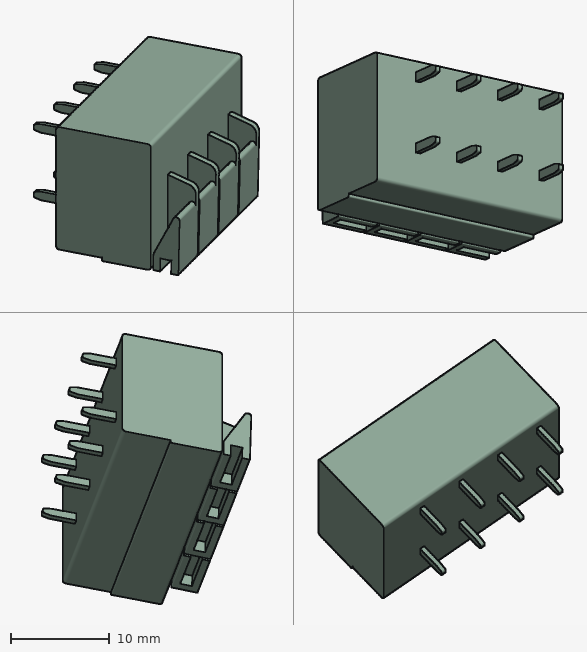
import cadquery as cq
import math

pole_count = 4
pole_pitch = 5.07

body_depth = 10.5
body_length = 22.85
body_height = 14.15
body_radius = 0.4
step_depth = 5.07
step_height = 0.37
step_radius = 0.14

pin_length = 3.5
pin_height = 0.98
pin_thickness = 0.53
pin_taper_length = 0.85
pin_tip_height = 0.6
pin_tip_radius = 0.23
pin_first_y = 2.63
pin_row_spacing = 7.6
pin_inset_from_top = 1.8
pin_upper_z = body_height - pin_inset_from_top
pin_rows_z = (pin_upper_z, pin_upper_z - pin_row_spacing)

lever_tilt = 1.3
lever_inset_from_top = 5.28
lever_top_z = body_height - lever_inset_from_top
lever_first_y = 0.18
lever_width = 4.8
arm_thickness = 0.78
lever_reach = 3.15
lever_drop = 8.87
lever_gap = 0.37
lever_toe_radius = 0.11
arm_root_overlap = 0.45
arm_flat = 0.18
arm_slope = 14.5
arm_bend_radius = 1.37
arm_nose_radius = 1.0
arm_root_height = 5.8
arm_root_radius = 0.18
wedge_foot_z = -7.02
wedge_slope = 64.7
wedge_peak_radius = 0.37
notch_start = 1.12
notch_width = 1.21
notch_height = 1.49


def rounded_prism(corners, y_start, y_end):
    """Extrude an XZ outline of (x, z, radius) corners along Y and round its corners."""
    outline = [(x, z) for x, z, radius in corners]
    prism = (
        cq.Workplane("XZ", origin=(0, y_start, 0))
        .polyline(outline)
        .close()
        .extrude(y_start - y_end)
    )
    middle_y = (y_start + y_end) / 2
    for x, z, radius in corners:
        if radius > 0:
            edge = cq.selectors.NearestToPointSelector((x, middle_y, z))
            prism = prism.edges("|Y").edges(edge).fillet(radius)
    return prism


def make_body():
    corners = [
        (0, step_height, body_radius),
        (step_depth, step_height, 0),
        (step_depth, 0, step_radius),
        (body_depth, 0, body_radius),
        (body_depth, body_height, body_radius),
        (0, body_height, body_radius),
    ]
    return rounded_prism(corners, 0, body_length)


def make_pin():
    """Flat pin with a tapered, rounded tip, centred on Y = 0 and Z = 0."""
    half_height = pin_height / 2
    half_tip = pin_tip_height / 2
    taper_x = pin_taper_length - pin_length
    corners = [
        (0, half_height, 0),
        (taper_x, half_height, 0),
        (-pin_length, half_tip, pin_tip_radius),
        (-pin_length, -half_tip, pin_tip_radius),
        (taper_x, -half_height, 0),
        (0, -half_height, 0),
    ]
    return rounded_prism(corners, -pin_thickness / 2, pin_thickness / 2)


def make_lever():
    """Lever hanging from its pivot, at X = 0 and Z = 0; its front side is at Y = 0."""
    wedge_end = lever_width - arm_thickness
    nose_z = -(lever_reach - arm_flat) * math.tan(math.radians(arm_slope))
    arm_corners = [
        (-arm_root_overlap, 0, 0),
        (arm_flat, 0, arm_bend_radius),
        (lever_reach, nose_z, arm_nose_radius),
        (lever_reach, -lever_drop, lever_toe_radius),
        (lever_gap, -lever_drop, lever_toe_radius),
        (lever_gap, -arm_root_height, arm_root_radius),
        (-arm_root_overlap, -arm_root_height, 0),
    ]
    arm = rounded_prism(arm_corners, wedge_end, lever_width)

    peak_z = wedge_foot_z + (lever_reach - lever_gap) * math.tan(math.radians(wedge_slope))
    wedge_corners = [
        (lever_gap, -lever_drop, lever_toe_radius),
        (lever_gap, wedge_foot_z, 0),
        (lever_reach, peak_z, wedge_peak_radius),
        (lever_reach, -lever_drop, lever_toe_radius),
    ]
    wedge = rounded_prism(wedge_corners, 0, wedge_end)

    notch = cq.Workplane("XY").box(notch_width, wedge_end, notch_height, centered=False)
    wedge = wedge.cut(notch.translate((notch_start, 0, -lever_drop)))

    return arm.union(wedge).rotate((0, 0, 0), (0, 1, 0), lever_tilt)


result = make_body()
pin = make_pin()
lever = make_lever()
for pole in range(pole_count):
    pole_y = pole * pole_pitch
    for row_z in pin_rows_z:
        result = result.union(pin.translate((0, pin_first_y + pole_y, row_z)))
    result = result.union(lever.translate((body_depth, lever_first_y + pole_y, lever_top_z)))